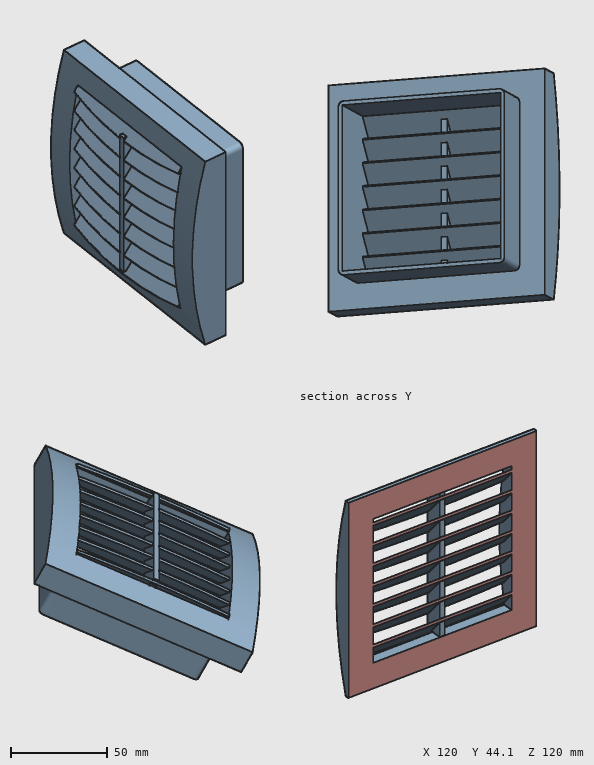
import cadquery as cq
import math


plate_size = 120.0
plate_depth = 22.0
plate_edge_depth = 13.5

duct_size = 92.2
duct_depth = 22.1
duct_corner_radius = 3.0
opening_size = 88.0

slat_count = 8
slat_pitch = 12.5
slat_angle = 50.0
slat_thickness = 1.5
slat_length = 20.4
slat_bow = 4.5
top_slat_tip_z = 41.6

bar_width = 3.4
bar_depth = 10.8


def make_plate():
    """Square plate whose front bows outward between its top and bottom edges."""
    half = plate_size / 2
    return (
        cq.Workplane("YZ")
        .moveTo(0, -half)
        .lineTo(-plate_edge_depth, -half)
        .threePointArc((-plate_depth, 0), (-plate_edge_depth, half))
        .lineTo(0, half)
        .close()
        .extrude(half, both=True)
    )


def make_duct():
    """Square sleeve with rounded outer corners, behind the plate."""
    return (
        cq.Workplane("XZ")
        .rect(duct_size, duct_size)
        .extrude(-duct_depth)
        .edges("|Y")
        .fillet(duct_corner_radius)
    )


def make_opening():
    """Square passage through the plate and the duct."""
    return (
        cq.Workplane("XZ", origin=(0, duct_depth, 0))
        .rect(opening_size, opening_size)
        .extrude(duct_depth + plate_depth)
    )


def make_slat(tip_z):
    """Sloping slat whose bowed front edge touches the foremost plane at tip_z."""
    angle = math.radians(slat_angle)
    upper_face = cq.Plane(
        origin=(0, -plate_depth, tip_z),
        xDir=(1, 0, 0),
        normal=(0, -math.sin(angle), math.cos(angle)),
    )
    half = opening_size / 2
    return (
        cq.Workplane(upper_face)
        .moveTo(-half, slat_bow)
        .threePointArc((0, 0), (half, slat_bow))
        .lineTo(half, slat_length)
        .lineTo(-half, slat_length)
        .close()
        .extrude(-slat_thickness)
    )


def make_bar():
    """Upright bar crossing all the slats at mid-width."""
    return (
        cq.Workplane("XZ", origin=(0, bar_depth - plate_depth, 0))
        .rect(bar_width, opening_size)
        .extrude(bar_depth)
    )


result = make_plate().union(make_duct()).cut(make_opening())
for index in range(slat_count):
    result = result.union(make_slat(top_slat_tip_z - index * slat_pitch))
result = result.union(make_bar())